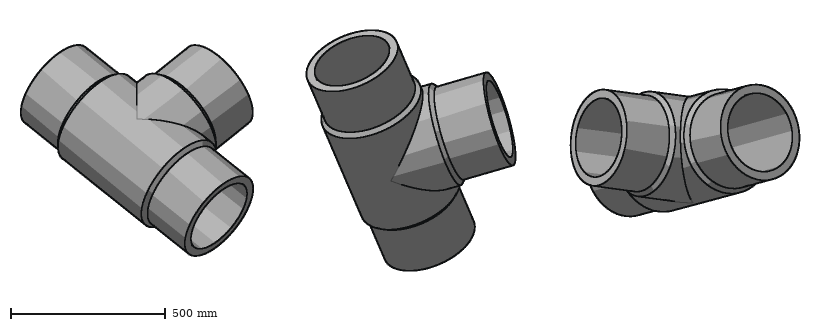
import cadquery as cq

run_length = 752.0
overall_depth = 547.0
bore_diameter = 258.0
pipe_diameter = 315.0
body_diameter = 344.0
pipe_end_length = 171.0

shoulder_chamfer = (body_diameter - pipe_diameter) / 2
body_reach = run_length / 2 - pipe_end_length
branch_reach = overall_depth - body_diameter / 2


def run_cylinder(diameter, length):
    """Cylinder along X, centred on the origin."""
    return cq.Workplane("YZ").circle(diameter / 2).extrude(length / 2, both=True)


def branch_cylinder(diameter, length):
    """Cylinder from the origin along +Y."""
    return cq.Workplane("XZ").circle(diameter / 2).extrude(-length)


run_body = run_cylinder(body_diameter, 2 * body_reach).edges().chamfer(shoulder_chamfer)
run = run_body.union(run_cylinder(pipe_diameter, run_length))

branch_body = branch_cylinder(body_diameter, body_reach).faces(">Y").chamfer(shoulder_chamfer)
branch = branch_body.union(branch_cylinder(pipe_diameter, branch_reach))

run_bore = run_cylinder(bore_diameter, run_length)
branch_bore = branch_cylinder(bore_diameter, branch_reach)

result = run.union(branch).cut(run_bore).cut(branch_bore)